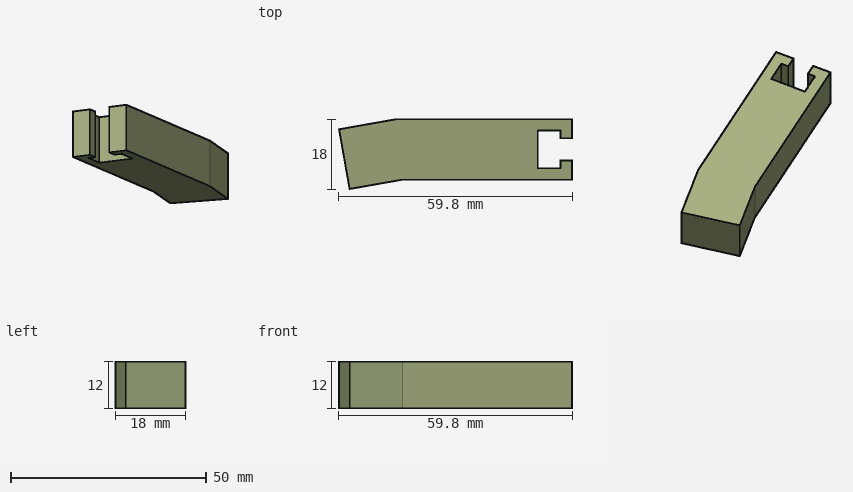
import cadquery as cq
import math

total_length = 59.75
thickness = 12.0
body_width = 15.6
bend_angle = math.radians(10)
lower_bend_x = 16.2

wall = 3.0
pocket_length = 5.8
mouth_width = 5.6

upper_bend_x = lower_bend_x - body_width * math.tan(bend_angle / 2)
end_shift = body_width * math.sin(bend_angle)
half_width = body_width / 2
upper_end_y = half_width - upper_bend_x * math.tan(bend_angle)
lower_end_y = upper_end_y - body_width * math.cos(bend_angle)


def bent_bar():
    outline = [
        (0, upper_end_y),
        (upper_bend_x, half_width),
        (total_length, half_width),
        (total_length, -half_width),
        (lower_bend_x, -half_width),
        (end_shift, lower_end_y),
    ]
    return cq.Workplane("XY").polyline(outline).close().extrude(thickness)


def slot_block(start_x, end_x, width):
    """Full-height cutter centred across the body."""
    return (
        cq.Workplane("XY")
        .moveTo((start_x + end_x) / 2, 0)
        .rect(end_x - start_x, width)
        .extrude(thickness)
    )


lip_x = total_length - wall
pocket_start_x = lip_x - pocket_length
pocket = slot_block(pocket_start_x, lip_x, body_width - 2 * wall)
mouth = slot_block(pocket_start_x, total_length, mouth_width)

result = bent_bar().cut(pocket).cut(mouth)